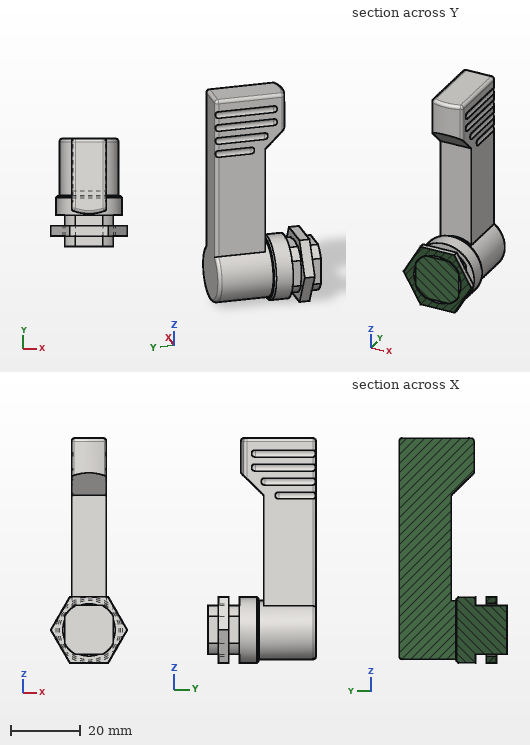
import cadquery as cq
import math


hub_radius = 8.5
hub_depth = 16.3
edge_radius = 1.0

lever_width = 10.0
lever_top = 55.0
lever_depth = 15.0
head_depth = 21.6
head_crown_radius = 13.0
overhang_start = 38.5
overhang_end = 45.0

groove_half_width = 1.0
groove_sink = 0.4
groove_pitch = 4.0
lowest_groove_height = 38.5
groove_radius = (groove_half_width**2 + groove_sink**2) / (2 * groove_sink)
groove_lengths = [10.7, 14.75, 17.5, 17.5]

collar_radius = 9.5
collar_start = 16.5
collar_end = 22.0
collar_chamfer = 0.5
spindle_radius = 8.0
spindle_across_flats = 14.0
spindle_end = 31.0

nut_across_flats = 19.0
nut_start = 25.0
nut_thickness = 3.0
nut_hole_radius = 7.5


def axial_plane(depth):
    """Plane across the turning axis; extrusions from it go toward -Y."""
    return cq.Workplane("XZ", origin=(0, -depth, 0))


def make_lever():
    """Lever bar with its overhanging head and rounded outer edges."""
    side_outline = [
        (0, 0),
        (-lever_depth, 0),
        (-lever_depth, overhang_start),
        (-head_depth, overhang_end),
        (-head_depth, lever_top),
        (0, lever_top),
    ]
    half_width = lever_width / 2
    lever = (
        cq.Workplane("YZ", origin=(-half_width, 0, 0))
        .polyline(side_outline)
        .close()
        .extrude(lever_width)
    )

    crown_drop = head_crown_radius - math.sqrt(head_crown_radius**2 - half_width**2)
    crowned_plan = (
        cq.Workplane("XY")
        .moveTo(-half_width, 0)
        .lineTo(-half_width, crown_drop - head_depth)
        .threePointArc((0, -head_depth), (half_width, crown_drop - head_depth))
        .lineTo(half_width, 0)
        .close()
        .extrude(lever_top)
    )
    lever = lever.intersect(crowned_plan)

    back_edges = lever.edges("|Z and >Y")
    head_front_edges = lever.edges(cq.selectors.BoxSelector(
        (-lever_width, -head_depth, overhang_start),
        (lever_width, -lever_depth - edge_radius, lever_top),
    )).edges("|Z")
    top_edges = lever.faces(">Z").edges()
    return back_edges.add(head_front_edges).add(top_edges).fillet(edge_radius)


def make_groove(side, height, length):
    """Shallow rounded groove from the back of the lever, with a dished end; side is -1 or +1."""
    x = side * (lever_width / 2 - groove_sink + groove_radius)
    channel = cq.Workplane("XZ", origin=(x, 0, height)).circle(groove_radius).extrude(length)
    round_end = cq.Workplane("XY", origin=(x, -length, height)).sphere(groove_radius)
    return channel.union(round_end)


def make_handle():
    """Round hub with the lever and its finger grooves."""
    hub = axial_plane(0).circle(hub_radius).extrude(hub_depth)
    hub = hub.faces(">Y").edges().fillet(edge_radius)
    handle = hub.union(make_lever())
    for index, length in enumerate(groove_lengths):
        height = lowest_groove_height + index * groove_pitch
        for side in (-1, 1):
            handle = handle.cut(make_groove(side, height, length))
    return handle


def make_spindle(start, end):
    """Round bar with four flats."""
    length = end - start
    bar = axial_plane(start).circle(spindle_radius).extrude(length)
    flats = axial_plane(start).rect(spindle_across_flats, spindle_across_flats).extrude(length)
    return bar.intersect(flats)


def make_housing():
    """Collar a small gap in front of the hub, with the flatted spindle ahead of it."""
    collar = axial_plane(collar_start).circle(collar_radius).extrude(collar_end - collar_start)
    collar = collar.faces(">Y").edges().chamfer(collar_chamfer)
    return collar.union(make_spindle(collar_end, spindle_end))


def make_nut():
    """Hexagon nut whose bore clears the flats and is notched for the spindle corners."""
    nut_end = nut_start + nut_thickness
    across_corners = nut_across_flats / math.cos(math.pi / 6)
    nut = (
        axial_plane(nut_start)
        .polygon(6, across_corners)
        .circle(nut_hole_radius)
        .extrude(nut_thickness)
    )
    return nut.cut(make_spindle(nut_start, nut_end))


handle = make_handle()
housing = make_housing()
nut = make_nut()

result = cq.Compound.makeCompound([handle.val(), housing.val(), nut.val()])